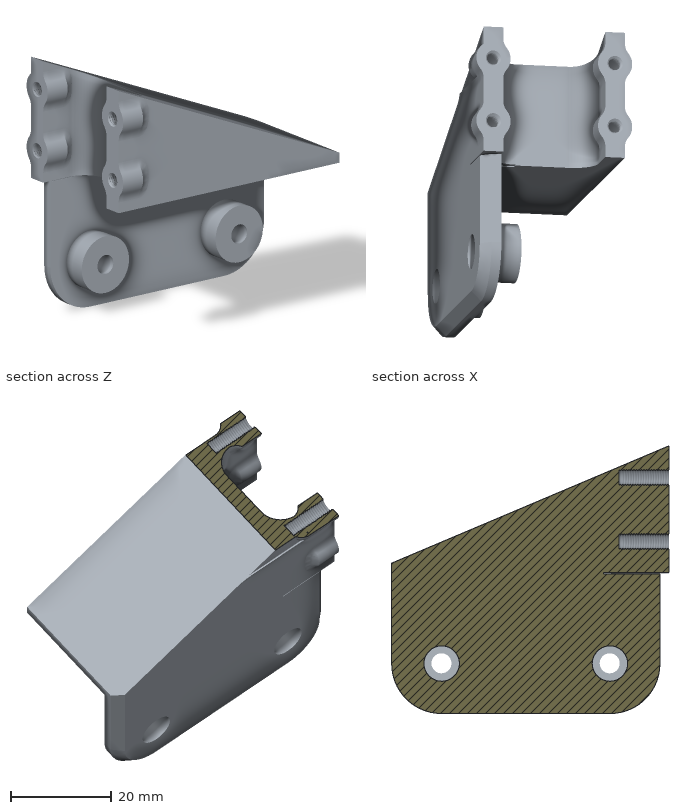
import cadquery as cq
import math


length = 55.45
height = 53.55
leg_pitch = 24.85
leg_thickness = 4.0
width = leg_pitch + leg_thickness
outer_x = -width / 2
body_bottom = 28.0
back_height = 30.1
edge_chamfer = 2.0

arch_depth = 11.6
arch_radius = 5.0
arch_width = leg_pitch - leg_thickness

plate_front = 1.8
corner_radius = 10.05
mount_boss_diameter = 11.85
mount_boss_height = 5.0
mount_depth = leg_thickness + mount_boss_height
mount_hole_diameter = 4.0
counterbore_diameter = 7.0
counterbore_depth = leg_thickness
mount_hole_ys = (plate_front + corner_radius, length - corner_radius)

gap_height = 0.15
gap_length = 13.1
gap_width = mount_depth

boss_radius = 3.5
boss_length = 5.0
blend_radius = 3.0
lower_boss_rise = 6.4
lower_boss_z = body_bottom + lower_boss_rise
boss_spacing = 12.8
upper_boss_z = lower_boss_z + boss_spacing
boss_zs = (lower_boss_z, upper_boss_z)
run_out_steps = 12
half_leg = leg_thickness / 2
blend_center_x = half_leg + blend_radius
blend_half_height = math.sqrt((boss_radius + blend_radius) ** 2 - blend_center_x ** 2)

domed_boss_radius = 3.45
domed_boss_length = 10.15
dome_fillet = 2.6
domed_half_height = math.sqrt(domed_boss_radius ** 2 - half_leg ** 2)

thread_minor_radius = 2.55 / 2
thread_major_radius = 3.1 / 2
thread_pitch = 0.5
thread_length = 10.0


def make_slope_trim():
    """Block under the sloping top, wide enough to keep all that lies below the slope."""
    span = 2 * width
    return (
        cq.Workplane("YZ", origin=(-span / 2, 0, 0))
        .polyline([(0, 0), (length, 0), (length, back_height), (0, height)])
        .close()
        .extrude(span)
    )


def box(x0, x1, y0, y1, z0, z1):
    """Box between two limits along each axis."""
    return cq.Workplane("XY").box(x1 - x0, y1 - y0, z1 - z0, centered=False).translate((x0, y0, z0))


def make_body():
    block = box(outer_x, -outer_x, 0, length, body_bottom, height)
    block = block.edges("|Z and <X and >Y").chamfer(edge_chamfer)
    arch = box(-arch_width / 2, arch_width / 2, -arch_depth, arch_depth, body_bottom, height)
    arch = arch.edges("|Z and >Y").fillet(arch_radius)
    return block.cut(arch)


def make_plate():
    plate = box(outer_x, outer_x + leg_thickness, plate_front, length, 0, body_bottom)
    plate = plate.edges("|X and <Z").fillet(corner_radius)
    return plate.faces("<X").edges("not >Z").chamfer(edge_chamfer)


def cylinder_x(y, x0, diameter, depth):
    """Cylinder along +X at a mounting hole, starting at x0."""
    return cq.Workplane("YZ", origin=(x0, y, corner_radius)).circle(diameter / 2).extrude(depth)


def blend_section_points(z):
    """Boss rim, blend centre and leg contact for a ball resting on the leg and the boss rim."""
    reach = math.hypot(blend_center_x, z)
    depth = math.sqrt(max(blend_radius ** 2 - (reach - boss_radius) ** 2, 0))
    rim = cq.Vector(boss_radius * blend_center_x / reach, 0, boss_radius * z / reach)
    center = cq.Vector(blend_center_x, depth, z)
    contact = cq.Vector(half_leg, depth, z)
    return rim, center, contact


def blend_arc_middle(rim, center, contact):
    """Middle of the concave arc from the boss rim to the leg."""
    return center + ((rim + contact) * 0.5 - center).normalized() * blend_radius


def blend_section(z):
    """Flat section of the run-out behind a boss: leg, boss end and concave arc."""
    rim, center, contact = blend_section_points(z)
    foot = cq.Vector(half_leg, 0, rim.z)
    return cq.Wire.assembleEdges([
        cq.Edge.makeLine(foot, rim),
        cq.Edge.makeThreePointArc(rim, blend_arc_middle(rim, center, contact), contact),
        cq.Edge.makeLine(contact, foot),
    ])


def make_boss_side(has_upper_blend=True):
    """Boss half on the +X side of a leg, centred on the screw axis, with concave blends to the leg."""
    round_boss = cq.Workplane("XZ").circle(boss_radius).extrude(-boss_length)
    side = round_boss.intersect(box(0, boss_radius, 0, boss_length, -boss_radius, boss_radius))
    rim, center, contact = blend_section_points(blend_half_height)
    middle = blend_arc_middle(rim, center, contact)
    for sign in ((1, -1) if has_upper_blend else (-1,)):
        blend = (
            cq.Workplane("XZ")
            .moveTo(0, 0)
            .lineTo(rim.x, sign * rim.z)
            .threePointArc((middle.x, sign * middle.z), (half_leg, sign * blend_half_height))
            .lineTo(0, sign * blend_half_height)
            .close()
            .extrude(-boss_length)
        )
        side = side.union(blend)
    return side


def make_run_out():
    """Concave run-out behind a boss side, swept over the height of the boss."""
    zs = [
        -blend_half_height * math.cos(math.pi * step / run_out_steps)
        for step in range(run_out_steps + 1)
    ]
    run_out = cq.Solid.makeLoft([blend_section(z) for z in zs])
    return cq.Workplane(obj=run_out.translate(cq.Vector(0, boss_length, 0)))


def make_domed_boss():
    """Upper boss on the plate side: sharp above, domed behind, its lower blend running on as a strip."""
    front = make_boss_side(has_upper_blend=False)
    dome = cq.Workplane("XZ").circle(domed_boss_radius).extrude(-domed_boss_length)
    dome = dome.faces(">Y").edges().fillet(dome_fillet)
    dome = dome.intersect(box(0, boss_radius, 0, length, -boss_radius, boss_radius))
    strip_x = blend_center_x - math.sqrt(blend_radius ** 2 - (blend_half_height - domed_half_height) ** 2)
    arc_angle = 0.5 * math.acos((blend_center_x - strip_x) / blend_radius)
    strip = (
        cq.Workplane("XZ")
        .moveTo(0, -blend_half_height)
        .lineTo(half_leg, -blend_half_height)
        .threePointArc(
            (
                blend_center_x - blend_radius * math.cos(arc_angle),
                -blend_half_height + blend_radius * math.sin(arc_angle),
            ),
            (strip_x, -domed_half_height),
        )
        .lineTo(0, -domed_half_height)
        .close()
        .extrude(-length)
    )
    return front.union(dome).union(strip)


def make_threaded_hole():
    """Screw hole along +Y with ring grooves of triangular section for its thread."""
    turns = round(thread_length / thread_pitch)
    outline = cq.Workplane("XY").moveTo(0, 0).lineTo(thread_major_radius, 0)
    for turn in range(turns):
        start = turn * thread_pitch
        outline = outline.lineTo(thread_minor_radius, start + thread_pitch / 2)
        outline = outline.lineTo(thread_major_radius, start + thread_pitch)
    outline = outline.lineTo(0, turns * thread_pitch).close()
    return outline.revolve(360, (0, 0), (0, 1))


def place_boss_side(shape, leg, facing, z):
    """Set a +X boss side on a leg (-1 or 1), turned to face -X when facing is -1."""
    if facing < 0:
        shape = shape.mirror("YZ")
    return shape.translate((leg * leg_pitch / 2, 0, z))


result = make_body().union(make_plate())
result = result.cut(
    box(outer_x, outer_x + gap_width, 0, gap_length, body_bottom, body_bottom + gap_height)
)

plain_side = make_boss_side().union(make_run_out())
domed_side = make_domed_boss()
for leg in (-1, 1):
    for z in boss_zs:
        for facing in (-1, 1):
            is_domed = leg < 0 and facing < 0 and z == upper_boss_z
            shape = domed_side if is_domed else plain_side
            result = result.union(place_boss_side(shape, leg, facing, z))
result = result.intersect(make_slope_trim())

for y in mount_hole_ys:
    result = result.union(cylinder_x(y, outer_x + leg_thickness, mount_boss_diameter, mount_boss_height))
    result = result.cut(cylinder_x(y, outer_x, counterbore_diameter, counterbore_depth))
    result = result.cut(cylinder_x(y, outer_x, mount_hole_diameter, mount_depth))

threaded_hole = make_threaded_hole()
for leg in (-1, 1):
    for z in boss_zs:
        result = result.cut(threaded_hole.translate((leg * leg_pitch / 2, 0, z)))